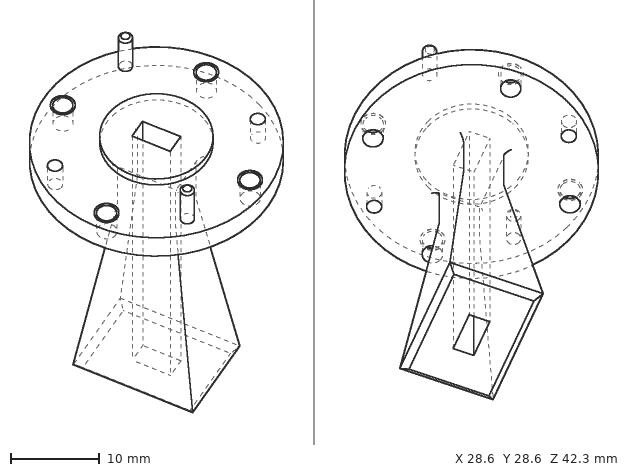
import cadquery as cq

total_height = 42.25
lip_height = 0.85
neck_bottom = 27.2
flange_bottom = 34.0
flange_top = 37.15
boss_top = 38.15

flange_diameter = 28.55
boss_diameter = 12.75

neck_size = (7.45, 4.85)
horn_size = (15.25, 11.28)
lip_inset = 0.8
mouth_size = tuple(side - 2 * lip_inset for side in horn_size)
neck_fillet = 0.75
joint_margin = 0.05

bore_size = (4.85, 2.5)

pitch_radius = 11.9
bolt_hole_diameter = 2.3
counterbore_diameter = 2.8
counterbore_depth = 0.1
dowel_diameter = 1.6
dowel_chamfer = 0.3
dowel_hole_diameter = 1.7


def on_pitch_circle(height, start_angle, count):
    """Return a workplane with evenly spaced points on the pitch circle."""
    return (
        cq.Workplane("XY")
        .workplane(offset=height)
        .polarArray(pitch_radius, start_angle, 360, count)
    )


def tapered_block(lower_size, upper_size, bottom, top):
    """Loft between two centred rectangles."""
    return (
        cq.Workplane("XY")
        .workplane(offset=bottom)
        .rect(*lower_size)
        .workplane(offset=top - bottom)
        .rect(*upper_size)
        .loft(ruled=True)
    )


def disc(diameter, bottom, top):
    """Make a disc on the main axis."""
    return cq.Workplane("XY").workplane(offset=bottom).circle(diameter / 2).extrude(top - bottom)


def flange_with_neck():
    """Make the flange and boss, with the neck filleted into the underside."""
    flange = disc(flange_diameter, flange_bottom, flange_top)
    boss = disc(boss_diameter, flange_top, boss_top)
    neck = tapered_block(neck_size, neck_size, neck_bottom, flange_bottom)
    joint_edges = cq.selectors.BoxSelector(
        (-neck_size[0], -neck_size[1], flange_bottom - joint_margin),
        (neck_size[0], neck_size[1], flange_bottom + joint_margin),
    )
    return flange.union(neck).edges("#Z and %LINE").edges(joint_edges).fillet(neck_fillet).union(boss)


def horn():
    """Make the flared horn with its bevelled lip."""
    flare = tapered_block(horn_size, neck_size, lip_height, neck_bottom)
    lip = tapered_block(mouth_size, horn_size, 0, lip_height)
    return flare.union(lip)


def bolt_holes():
    """Make four through-hole cutters with a shallow counterbore on the top face."""
    holes = (
        on_pitch_circle(flange_bottom, 0, 4)
        .circle(bolt_hole_diameter / 2)
        .extrude(flange_top - flange_bottom)
    )
    counterbores = (
        on_pitch_circle(flange_top - counterbore_depth, 0, 4)
        .circle(counterbore_diameter / 2)
        .extrude(counterbore_depth)
    )
    return holes.union(counterbores)


def dowel_holes():
    """Make two through-hole cutters on one diagonal."""
    return (
        on_pitch_circle(flange_bottom, 45, 2)
        .circle(dowel_hole_diameter / 2)
        .extrude(flange_top - flange_bottom)
    )


def dowel_pins():
    """Make two pins with bevelled tips on the other diagonal."""
    return (
        on_pitch_circle(flange_bottom, 135, 2)
        .circle(dowel_diameter / 2)
        .extrude(total_height - flange_bottom)
        .faces(">Z")
        .chamfer(dowel_chamfer)
    )


bore = tapered_block(bore_size, bore_size, 0, boss_top)

result = (
    flange_with_neck()
    .union(horn())
    .cut(bolt_holes())
    .cut(dowel_holes())
    .union(dowel_pins())
    .cut(bore)
)